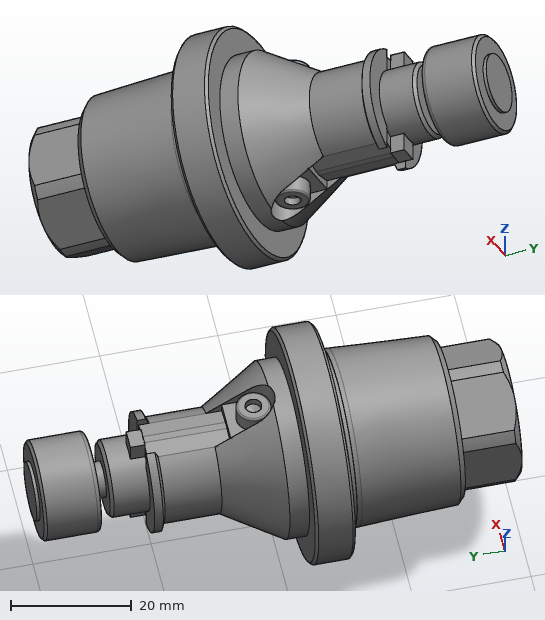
import cadquery as cq
import math

LENGTH = 80.9

HEX_FLATS = 21.85
HEX_CORNER_R = 12.0
HEX_FACE_R = HEX_FLATS / 2
HEX_TOP = 10.1

SLEEVE_R = 15.05
SLEEVE_END_R = 14.2
SLEEVE_CHAMFER = 1.0
TAPER_TOP = 28.0

GROOVE_R = 14.8
GROOVE_LOW = 28.8
GROOVE_HIGH = 29.6

COLLAR_R = 20.0
COLLAR_LOW = 30.1
COLLAR_HIGH = 36.9
COLLAR_CHAMFER = 0.5
RECESS_R = 16.0
RECESS_FLOOR_R = 15.4
RECESS_DEPTH = 0.4

CONE_LOW = 40.2
CONE_HIGH = 50.4
BODY_R = 9.0

RIM_R = 10.2
RIM_LOW = 60.6
RIM_HIGH = 62.05
RIM_BEVEL = 0.6

STEM_R = 6.55
STEM_TOP = 68.7
STEM_CHAMFER = 0.6
NECK_R = 3.1
BUTTON_R = 8.5
BUTTON_LOW = 70.55
BUTTON_HIGH = 80.3
BUTTON_CHAMFER = 0.5
BUTTON_FILLET = 0.7
CAP_R = 5.0

KEY_WIDTH = 7.1
KEY_FLAT = 1.3
KEY_TOP = 8.8
KEY_EDGE = math.sqrt(BODY_R**2 - (KEY_WIDTH / 2) ** 2)
KEY_LOW = 47.7
KEY_HIGH = 61.8
TAB_WIDTH = 3.3
TAB_TOP = 9.55
TAB_END = 64.3

SCREW_Y = 43.1
SEAT_Z = 9.9
SCREW_R = 2.9
SCREW_TOP = 12.9
SCREW_FILLET = 0.3
SOCKET_R = 1.4
SOCKET_DEPTH = 1.3
SOCKET_TIP = 0.65


def turned_body():
    """Sleeve, collar, cone and rim, outlined as (radius, Y) points."""
    outline = [
        (0, HEX_TOP),
        (SLEEVE_END_R - SLEEVE_CHAMFER, HEX_TOP),
        (SLEEVE_END_R, HEX_TOP + SLEEVE_CHAMFER),
        (SLEEVE_R, TAPER_TOP),
        (SLEEVE_R, GROOVE_LOW),
        (GROOVE_R, GROOVE_LOW),
        (GROOVE_R, GROOVE_HIGH),
        (SLEEVE_R, GROOVE_HIGH),
        (SLEEVE_R, COLLAR_LOW),
        (RECESS_FLOOR_R, COLLAR_LOW + RECESS_DEPTH),
        (RECESS_R, COLLAR_LOW + RECESS_DEPTH),
        (RECESS_R, COLLAR_LOW),
        (COLLAR_R - COLLAR_CHAMFER, COLLAR_LOW),
        (COLLAR_R, COLLAR_LOW + COLLAR_CHAMFER),
        (COLLAR_R, COLLAR_HIGH - COLLAR_CHAMFER),
        (COLLAR_R - COLLAR_CHAMFER, COLLAR_HIGH),
        (SLEEVE_R, COLLAR_HIGH),
        (SLEEVE_R, CONE_LOW),
        (BODY_R, CONE_HIGH),
        (BODY_R, RIM_LOW - RIM_BEVEL),
        (RIM_R, RIM_LOW),
        (RIM_R, RIM_HIGH),
        (0, RIM_HIGH),
    ]
    return (
        cq.Workplane("XY")
        .polyline(outline)
        .close()
        .revolve(360, (0, 0, 0), (0, 1, 0))
    )


def plunger():
    """Stem, neck and push button, outlined as (radius, Y) points from the end of the key."""
    outline = [
        (0, KEY_HIGH),
        (STEM_R, KEY_HIGH),
        (STEM_R, STEM_TOP - STEM_CHAMFER),
        (STEM_R - STEM_CHAMFER, STEM_TOP),
        (NECK_R, STEM_TOP),
        (NECK_R, BUTTON_LOW),
        (BUTTON_R - BUTTON_FILLET, BUTTON_LOW),
    ]
    arc_offset = BUTTON_FILLET * math.sqrt(0.5)
    arc_middle = (
        BUTTON_R - BUTTON_FILLET + arc_offset,
        BUTTON_LOW + BUTTON_FILLET - arc_offset,
    )
    return (
        cq.Workplane("XY")
        .polyline(outline)
        .threePointArc(arc_middle, (BUTTON_R, BUTTON_LOW + BUTTON_FILLET))
        .lineTo(BUTTON_R, BUTTON_HIGH - BUTTON_CHAMFER)
        .lineTo(BUTTON_R - BUTTON_CHAMFER, BUTTON_HIGH)
        .lineTo(CAP_R, BUTTON_HIGH)
        .lineTo(CAP_R, LENGTH)
        .lineTo(0, LENGTH)
        .close()
        .revolve(360, (0, 0, 0), (0, 1, 0))
    )


def hexagon_end():
    """Hexagon with flats on the X sides, rounded corners and a 45 degree end chamfer."""
    across_corners = HEX_FLATS / math.cos(math.pi / 6)
    hexagon = (
        cq.Workplane("XZ")
        .transformed(rotate=(0, 0, 30))
        .polygon(6, across_corners)
        .extrude(-HEX_TOP)
    )
    envelope = (
        cq.Workplane("XY")
        .polyline([
            (0, 0),
            (HEX_FACE_R, 0),
            (HEX_CORNER_R, HEX_CORNER_R - HEX_FACE_R),
            (HEX_CORNER_R, HEX_TOP),
            (0, HEX_TOP),
        ])
        .close()
        .revolve(360, (0, 0, 0), (0, 1, 0))
    )
    return hexagon.intersect(envelope)


def key_channel():
    """Volume removed above the ridged key, and through the rim just beyond the end of the key.

    The cut through the rim is refilled by the stem, which leaves it open only outside the stem.
    """
    half_width = KEY_WIDTH / 2
    over_key = (
        cq.Workplane("XZ", origin=(0, KEY_LOW, 0))
        .polyline([
            (-half_width, COLLAR_R),
            (-half_width, KEY_EDGE),
            (-KEY_FLAT / 2, KEY_TOP),
            (KEY_FLAT / 2, KEY_TOP),
            (half_width, KEY_EDGE),
            (half_width, COLLAR_R),
        ])
        .close()
        .extrude(KEY_LOW - RIM_HIGH)
    )
    beyond_key = (
        cq.Workplane("XZ", origin=(0, KEY_HIGH, 0))
        .rect(KEY_WIDTH, 2 * COLLAR_R)
        .extrude(KEY_HIGH - RIM_HIGH)
    )
    return over_key.union(beyond_key)


def screw_seat():
    """Volume removed above the flat, round-ended seat of the screw."""
    half_width = KEY_WIDTH / 2
    return (
        cq.Workplane("XY", origin=(0, 0, SEAT_Z))
        .moveTo(-half_width, KEY_LOW)
        .lineTo(-half_width, SCREW_Y)
        .threePointArc((0, SCREW_Y - half_width), (half_width, SCREW_Y))
        .lineTo(half_width, KEY_LOW)
        .close()
        .extrude(COLLAR_R - SEAT_Z)
    )


def key_tab():
    """Small block at the end of the key, standing on the stem."""
    return (
        cq.Workplane("XY")
        .center(0, (KEY_HIGH + TAB_END) / 2)
        .rect(TAB_WIDTH, TAB_END - KEY_HIGH)
        .extrude(TAB_TOP)
    )


def screw():
    """Cylindrical screw head with a rounded rim and a round, cone-bottomed socket."""
    head = (
        cq.Workplane("XY")
        .center(0, SCREW_Y)
        .circle(SCREW_R)
        .extrude(SCREW_TOP)
        .faces(">Z")
        .edges()
        .fillet(SCREW_FILLET)
    )
    socket = (
        cq.Workplane("XZ", origin=(0, SCREW_Y, SCREW_TOP))
        .polyline([
            (0, 0),
            (SOCKET_R, 0),
            (SOCKET_R, -SOCKET_DEPTH),
            (0, -SOCKET_DEPTH - SOCKET_TIP),
        ])
        .close()
        .revolve(360, (0, 0, 0), (0, 1, 0))
    )
    return head.cut(socket)


def on_both_sides(shape):
    """The shape together with its half-turn copy about the Y axis."""
    return [shape, shape.rotate((0, 0, 0), (0, 1, 0), 180)]


result = turned_body().union(hexagon_end())
for cutter in on_both_sides(key_channel()) + on_both_sides(screw_seat()):
    result = result.cut(cutter)
result = result.union(plunger())
for addition in on_both_sides(key_tab()) + on_both_sides(screw()):
    result = result.union(addition)